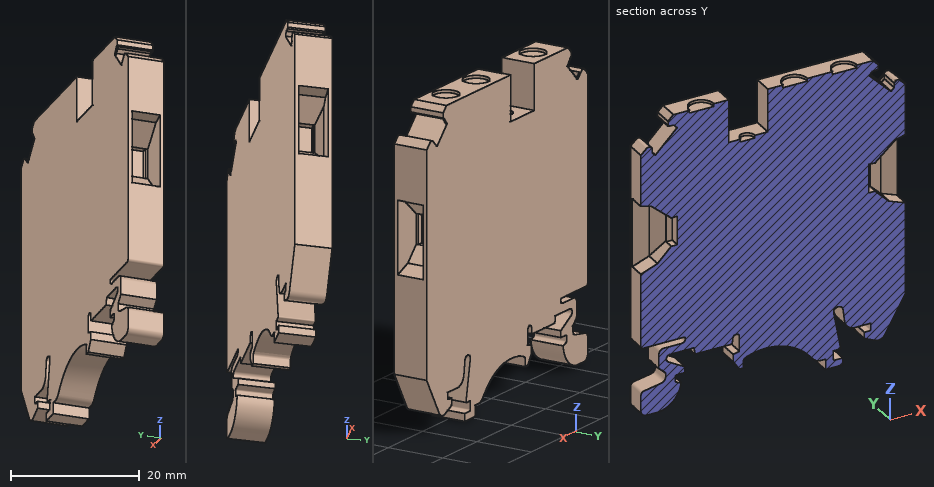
import cadquery as cq

WIDTH = 47.0
THICKNESS = 6.0
HEIGHT = 53.0
BACK_Y = THICKNESS / 2

SLOT_LEFT = 15.65
SLOT_RIGHT = 22.5
SLOT_FLOOR = HEIGHT - 7.65

NOTCH_RISE = 44.05
NOTCH_LOW_X = 3.0
NOTCH_HIGH_X = 5.95
SHOULDER_Z = 47.3
BARB_START = (0.95, 48.2)
BARB_TIP = (1.45, 48.4)
BARB_END = (1.85, 48.2)
BARB_SIDE_X = 2.05
BARB_SIDE_Z = 47.95
LIP_X = 4.8
LIP_LOW_Z = 51.2
LIP_CHAMFER = 0.95
LIP_UNDERSIDE_X = 5.1
LIP_UNDERSIDE_Z = 51.05

UNDERCUT_LOW_X = 2.6
UNDERCUT_HIGH_X = 6.4
UNDERCUT_CHAMFER = 0.55
BACK_WEB = 0.25

SIDE_BOTTOM_RIGHT = 9.7
SIDE_BOTTOM_LEFT = 12.6
SLIT_BOTTOM = 11.7
SLIT_END_X = 7.9
GROOVE_TOP = 10.6
TOE_BOTTOM = 0.5

RIGHT_HOOK = [
    (WIDTH, SHOULDER_Z),
    (WIDTH, SIDE_BOTTOM_RIGHT),
    (43.0, 2.7, 1.4),
    (41.85, 2.7, 1.05),
    (39.65, 3.7),
    (39.65, 4.9),
    (40.8, 4.9, 0.25),
    (40.8, 6.1),
    (36.35, 6.1, 1.9),
    (35.8, GROOVE_TOP, 0.7),
    (34.15, GROOVE_TOP, 0.7),
    (35.55, 2.95, 0.2),
    (34.25, 2.95),
    (34.25, 1.3, 0.25),
    (35.9, 1.3),
    (35.9, 0),
    (32.75, 0),
    (32.75, 1.85),
    (31.15, 1.85, 1.6),
]
ARCH_RIGHT = (30.1, 3.0)
ARCH_TOP = (22.95, 6.7)
ARCH_LEFT = (18.8, 6.1)
RAIL_CLAW = [
    (18.3, 5.8, 0.5),
    (18.3, 4.25),
    (17.5, 4.25),
    (16.4, 5.95),
    (16.4, 7.25),
    (17.5, 7.5),
    (17.5, GROOVE_TOP, 0.5),
    (16.5, GROOVE_TOP, 0.5),
    (16.25, 9.05),
    (9.65, 9.05),
    (9.45, 10.25),
    (2.8, 10.25, 0.65),
    (SLIT_END_X, 7.35),
    (SLIT_END_X, 6.25),
    (6.2, 6.25, 0.25),
    (6.2, 5.05, 0.3),
    (7.2, 4.7),
]
TOE_ARC_MIDDLE = (6.0, 1.9)
TOE_ARC_END = (3.3, TOE_BOTTOM)
FLEXIBLE_FOOT = [
    (0, TOE_BOTTOM, 1.05),
    (0, 4.95, 0.8),
    (4.4, 5.7, 0.95),
    (4.4, 7.15),
    (3.2, 8.25),
    (3.2, SLIT_BOTTOM, 0.95),
    (SLIT_END_X, SLIT_BOTTOM, 0.65),
    (SLIT_END_X, SIDE_BOTTOM_LEFT, 0.2),
    (0, SIDE_BOTTOM_LEFT, 0.5),
]

OPENING_Y = -0.25
OPENING_DEPTH = 0.5
SCREW_DIAMETER = 4.3
SCREW_X = (10.8, 27.4, 36.2)
TEST_DIAMETER = 2.5
TEST_X = 19.0

FUNNEL_HALF_WIDTH = 2.35
FUNNEL_TOP = 38.15
FUNNEL_BOTTOM = 26.0
FUNNEL_DEPTH = 5.4
FUNNEL_END_Y = 1.45
ROOF_BREAK_DEPTH = 1.85
ROOF_BREAK_Z = 37.65
FLOOR_BREAK_DEPTH = 2.95
FLOOR_BREAK_Z = 27.15
THROAT_TOP = 34.55
THROAT_BOTTOM = 29.6
THROAT_BACK_Y = 1.2
THROAT_FRONT_Y = -1.95
THROAT_DEPTH = 1.05


def mirrored(points):
    """Points reflected to the opposite end of the plate."""
    return [(WIDTH - x, z) for x, z in points]


def on_notch_floor(x):
    return (x, x + NOTCH_RISE)


def draw_lines(path, points):
    for point in points:
        path = path.lineTo(*point[:2])
    return path


def outline():
    """Closed outline with sharp corners, drawn clockwise from the left shoulder."""
    left_notch = [
        (BARB_SIDE_X, BARB_SIDE_Z),
        on_notch_floor(NOTCH_LOW_X),
        on_notch_floor(NOTCH_HIGH_X),
        (LIP_UNDERSIDE_X, LIP_UNDERSIDE_Z),
        (LIP_X, LIP_LOW_Z),
        (LIP_X, HEIGHT - LIP_CHAMFER),
        (LIP_X + LIP_CHAMFER, HEIGHT),
    ]
    slot = [
        (SLOT_LEFT, HEIGHT),
        (SLOT_LEFT, SLOT_FLOOR),
        (SLOT_RIGHT, SLOT_FLOOR),
        (SLOT_RIGHT, HEIGHT),
    ]
    right_notch = mirrored(left_notch)[::-1]
    right_start, right_tip, right_end = mirrored([BARB_START, BARB_TIP, BARB_END])

    path = cq.Workplane("XZ").moveTo(0, SHOULDER_Z).lineTo(*BARB_START)
    path = path.threePointArc(BARB_TIP, BARB_END)
    path = draw_lines(path, left_notch + slot + right_notch + [right_end])
    path = path.threePointArc(right_tip, right_start)
    path = draw_lines(path, RIGHT_HOOK + [ARCH_RIGHT])
    path = path.threePointArc(ARCH_TOP, ARCH_LEFT)
    path = draw_lines(path, RAIL_CLAW)
    path = path.threePointArc(TOE_ARC_MIDDLE, TOE_ARC_END)
    path = draw_lines(path, FLEXIBLE_FOOT)
    return path.close()


def plate():
    body = outline().extrude(THICKNESS / 2, both=True)
    for x, z, *radius in RIGHT_HOOK + RAIL_CLAW + FLEXIBLE_FOOT:
        if radius:
            corner = cq.selectors.NearestToPointSelector((x, 0, z))
            body = body.edges("|Y").edges(corner).fillet(radius[0])
    return body


def notch_undercuts():
    """Undercuts below the barbs and the lips, leaving a thin web at the back face."""
    barb_corner = on_notch_floor(UNDERCUT_LOW_X)
    lip_corner = on_notch_floor(UNDERCUT_HIGH_X)
    low = [
        (BARB_SIDE_X, BARB_SIDE_Z),
        on_notch_floor(NOTCH_LOW_X),
        barb_corner,
        (BARB_SIDE_X, barb_corner[1] + UNDERCUT_CHAMFER),
    ]
    high = [
        (LIP_UNDERSIDE_X, LIP_UNDERSIDE_Z),
        on_notch_floor(NOTCH_HIGH_X),
        lip_corner,
        (lip_corner[0] - UNDERCUT_CHAMFER, LIP_UNDERSIDE_Z),
    ]
    cutters = cq.Workplane("XZ", origin=(0, BACK_Y - BACK_WEB, 0))
    for points in (low, high, mirrored(low), mirrored(high)):
        cutters = cutters.polyline(points).close()
    return cutters.extrude(THICKNESS)


def round_opening(x, rim_z, diameter):
    rim = cq.Workplane("XY", origin=(x, OPENING_Y, rim_z)).circle(diameter / 2)
    return rim.extrude(-OPENING_DEPTH)


def wire_funnel():
    """Funnel in the left end: its side profile crossed with its plan profile, plus a blind throat."""
    side_profile = [
        (0, FUNNEL_TOP),
        (ROOF_BREAK_DEPTH, ROOF_BREAK_Z),
        (FUNNEL_DEPTH, THROAT_TOP),
        (FUNNEL_DEPTH, THROAT_BOTTOM),
        (FLOOR_BREAK_DEPTH, FLOOR_BREAK_Z),
        (0, FUNNEL_BOTTOM),
    ]
    plan_profile = [
        (0, FUNNEL_HALF_WIDTH),
        (FLOOR_BREAK_DEPTH, FUNNEL_HALF_WIDTH),
        (FUNNEL_DEPTH, FUNNEL_END_Y),
        (FUNNEL_DEPTH, -FUNNEL_HALF_WIDTH),
        (0, -FUNNEL_HALF_WIDTH),
    ]
    side = cq.Workplane("XZ").polyline(side_profile).close().extrude(FUNNEL_HALF_WIDTH, both=True)
    plan = cq.Workplane("XY").polyline(plan_profile).close().extrude(HEIGHT)
    throat = cq.Workplane("XY", origin=(FUNNEL_DEPTH, THROAT_FRONT_Y, THROAT_BOTTOM)).box(
        THROAT_DEPTH,
        THROAT_BACK_Y - THROAT_FRONT_Y,
        THROAT_TOP - THROAT_BOTTOM,
        centered=False,
    )
    return side.intersect(plan).union(throat)


result = plate().cut(notch_undercuts())

for screw_x in SCREW_X:
    result = result.cut(round_opening(screw_x, HEIGHT, SCREW_DIAMETER))
result = result.cut(round_opening(TEST_X, SLOT_FLOOR, TEST_DIAMETER))

left_funnel = wire_funnel()
right_funnel = left_funnel.mirror("YZ").translate((WIDTH, 0, 0))
result = result.cut(left_funnel).cut(right_funnel)